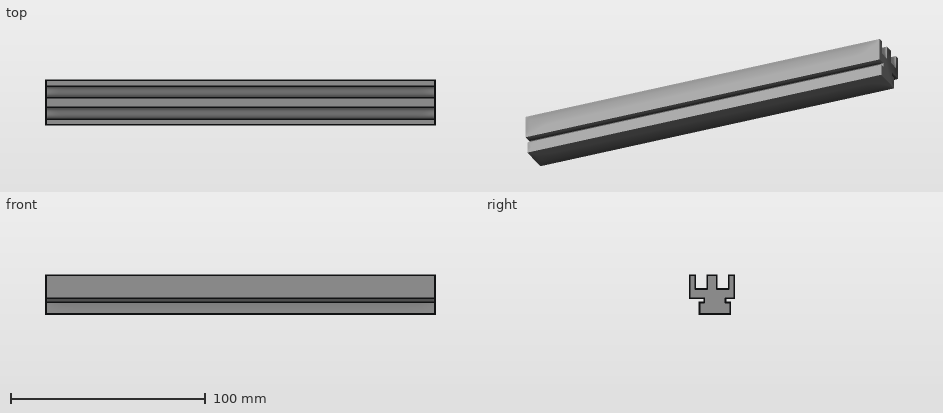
import cadquery as cq

length = 200.0
width = 23.0
height = 20.0

side_wall = 3.0
rib_width = 5.0
slot_depth = 7.0
slot_width = (width - rib_width) / 2 - side_wall

foot_width = 16.0
foot_height = 6.0
foot_setback = 5.0

groove_height = 2.0
groove_depth = 2.5

channel_bottom = foot_height + groove_height
channel_height = height - channel_bottom
foot_center_y = -width / 2 + foot_setback + foot_width / 2
neck_width = foot_width - 2 * groove_depth


def bar(bar_width, bar_height, center_y, bottom_z):
    """Full-length rectangular bar along X, resting at bottom_z."""
    return cq.Workplane("XY").box(length, bar_width, bar_height, centered=(True, True, False)).translate(
        (0, center_y, bottom_z)
    )


def channel():
    """Upper body with the two slots cut down from its top face."""
    body = bar(width, channel_height, 0, channel_bottom)
    slot_offset = (rib_width + slot_width) / 2
    for side in (-1, 1):
        body = body.cut(bar(slot_width, slot_depth, side * slot_offset, height - slot_depth))
    return body


def foot():
    """Lower foot bar together with the neck that carries the channel."""
    base = bar(foot_width, foot_height, foot_center_y, 0)
    neck = bar(neck_width, groove_height, foot_center_y, foot_height)
    return base.union(neck)


result = channel().union(foot())